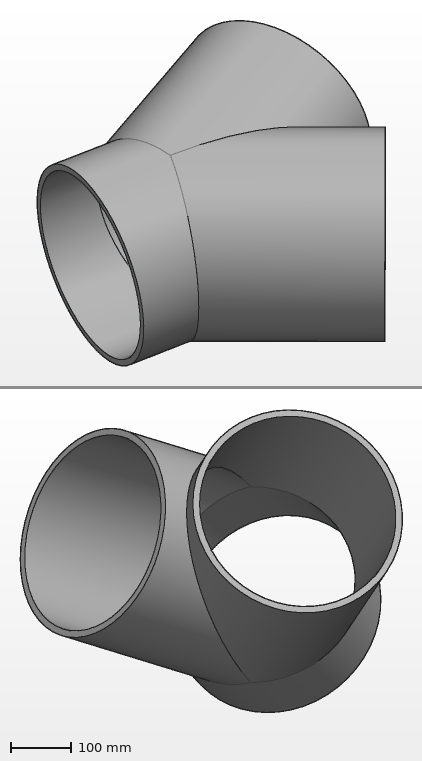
import cadquery as cq
import math

outer_diameter = 355.5
bore_diameter = 333.0
overall_width = 663.5
overall_depth = 549.5
branch_angle = 30.0

outer_radius = outer_diameter / 2
sin_branch = math.sin(math.radians(branch_angle))
cos_branch = math.cos(math.radians(branch_angle))
branch_length = (overall_width / 2 - outer_radius * cos_branch) / sin_branch
inlet_length = overall_depth - branch_length * cos_branch - outer_radius * sin_branch


def rod(diameter, length, direction):
    """Solid cylinder running from the junction point along a direction."""
    return cq.Workplane(
        cq.Solid.makeCylinder(diameter / 2, length, cq.Vector(0, 0, 0), cq.Vector(*direction))
    )


def three_way(diameter):
    """Inlet along -Y joined to two branches mirrored about the YZ plane."""
    body = rod(diameter, inlet_length, (0, -1, 0))
    for side in (-1, 1):
        body = body.union(rod(diameter, branch_length, (side * sin_branch, cos_branch, 0)))
    return body


result = three_way(outer_diameter).cut(three_way(bore_diameter))